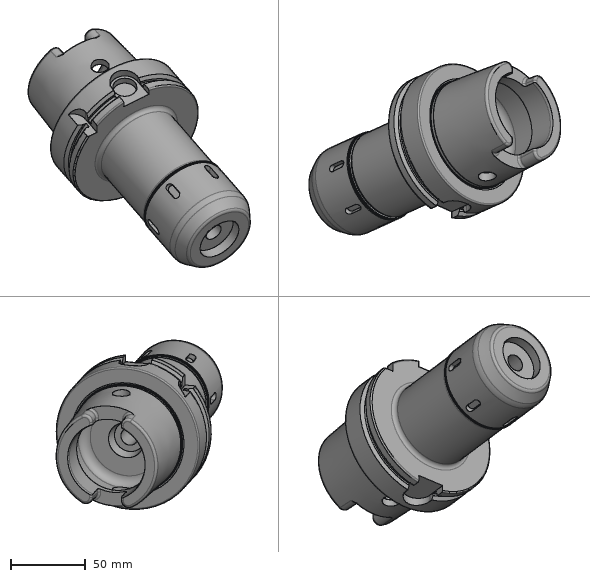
import cadquery as cq
import math


shank_length = 50.0
shank_front_x = -shank_length
taper_end_radius = 75.52 / 2
taper_end_x = -2.0
taper_ratio = 10.0
shank_front_radius = taper_end_radius - (taper_end_x - shank_front_x) / taper_ratio / 2
relief_radius = 75.0 / 2
relief_start_x = -1.5
shank_edge_fillet = 1.8

keyway_width = 20.0
keyway_depth_top = 10.0
keyway_depth_bottom = 15.0
keyway_flare = 5.0
keyway_floor_fillet = 1.65
selection_margin = 0.1

bore_mouth_radius = 54.0 / 2
bore_mouth_length = 1.9
bore_radius = 53.0 / 2
undercut_radius = 63.0 / 2
undercut_start_x = -30.5
undercut_slope = math.radians(60)
bore_floor_x = -3.5
bore_floor_fillet = 6.5
undercut_end_x = bore_floor_x - bore_floor_fillet
plug_radius = 35.0
side_hole_diameter = 12.0
side_hole_x = -15.0

socket_mouth_radius = 24.5 / 2
socket_radius = 21.0 / 2
socket_depth = 8.0
through_radius = 12.0 / 2

flange_radius = 50.0
flange_width = 29.0
flange_edge_fillet = 1.0
face_recess_radius = 39.3
face_recess_floor_radius = 38.2
face_recess_depth = 0.6
grip_center_x = 20.0
grip_floor_radius = 45.75
grip_floor_width = 3.4
grip_mouth_width = 6.5
grip_slope = math.radians(30)

slot_width = 20.0
slot_end_center_x = 15.0
slot_floor = 44.0
chip_hole_diameter = 16.0
chip_hole_depth = 5.0
notch_offset = 31.5
cutter_clearance = 1.0

neck_radius = 60.0 / 2
neck_root_fillet = 3.0
neck_end_x = 84.3
neck_end_fillet = 0.8
ring_seat_radius = 58.0 / 2
nose_radius = 48.0 / 2
nose_end_x = 123.0

ring_start_x = 85.0
ring_edge_chamfer = 0.5

nut_start_x = 86.5
nut_radius = 62.0 / 2
nut_end_x = 130.0
joint_chamfer = 0.5
nut_cone_start_x = 119.3
nut_cone_slope = math.radians(30)
nut_shoulder_fillet = 9.0
nut_end_fillet = 2.5
nut_opening_radius = 31.0 / 2

spanner_slot_count = 6
spanner_slot_width = 5.0
spanner_slot_start_x = 90.3
spanner_slot_length = 13.2
spanner_slot_floor_radius = 27.5

quarter_round_offset = 1 - math.sqrt(0.5)


def revolve_about_x(profile):
    """Turn a closed profile drawn in (x, radius) about the X axis."""
    return profile.close().revolve(360, (0, 0, 0), (1, 0, 0))


def edges_in(shape, low, high):
    """Select the edges whose centres lie inside a box."""
    return shape.edges(cq.selectors.BoxSelector(low, high))


def cut_keyway(shank, z_sign, depth):
    """Cut one drive keyway; its outer corners are flared and its floor corners rounded."""
    floor_x = shank_front_x + depth
    wall_y = keyway_width / 2
    margin = selection_margin
    keyway = (
        cq.Workplane("XY")
        .box(depth, keyway_width, flange_radius, centered=(False, True, False))
        .translate((shank_front_x, 0, min(0, z_sign) * flange_radius))
    )
    shank = shank.cut(keyway)
    outer_z_low, outer_z_high = sorted((z_sign * bore_radius, z_sign * taper_end_radius))
    for y in (-wall_y, wall_y):
        shank = edges_in(
            shank,
            (shank_front_x + margin, y - margin, outer_z_low),
            (floor_x - margin, y + margin, outer_z_high),
        ).fillet(keyway_flare)
    z_low, z_high = sorted((z_sign * nose_radius, z_sign * taper_end_radius))
    floor_lines = cq.selectors.BoxSelector(
        (floor_x - margin, -wall_y - margin, z_low),
        (floor_x + margin, wall_y + margin, z_high),
    ) & cq.selectors.TypeSelector("LINE")
    return shank.edges(floor_lines).fillet(keyway_floor_fillet)


def make_shank():
    """Tapered tube with a keyed, rounded front end."""
    shank = revolve_about_x(
        cq.Workplane("XY")
        .moveTo(shank_front_x, bore_radius)
        .lineTo(shank_front_x, shank_front_radius)
        .lineTo(taper_end_x, taper_end_radius)
        .lineTo(relief_start_x, relief_radius)
        .lineTo(face_recess_depth, relief_radius)
        .lineTo(face_recess_depth, bore_radius)
    )
    for z_sign, depth in ((1, keyway_depth_top), (-1, keyway_depth_bottom)):
        shank = cut_keyway(shank, z_sign, depth)
    outer_front_edges = [
        edge
        for edge in shank.faces("<X").edges("%CIRCLE").vals()
        if edge.radius() > bore_mouth_radius
    ]
    return shank.newObject(outer_front_edges).fillet(shank_edge_fillet)


def make_body():
    """Flange, neck and nose as one turned piece, with a plug that closes the shank bore."""
    grip_wall_dx = (grip_mouth_width - grip_floor_width) / 2
    grip_wall_radius = flange_radius - grip_wall_dx / math.tan(grip_slope)
    grip_floor_left = grip_center_x - grip_floor_width / 2
    grip_floor_right = grip_center_x + grip_floor_width / 2
    edge = flange_edge_fillet
    edge_offset = edge * quarter_round_offset
    root_offset = neck_root_fillet * quarter_round_offset
    end_offset = neck_end_fillet * quarter_round_offset
    return revolve_about_x(
        cq.Workplane("XY")
        .moveTo(undercut_end_x, 0)
        .lineTo(undercut_end_x, plug_radius)
        .lineTo(face_recess_depth, plug_radius)
        .lineTo(face_recess_depth, face_recess_floor_radius)
        .lineTo(0, face_recess_radius)
        .lineTo(0, flange_radius - edge)
        .threePointArc((edge_offset, flange_radius - edge_offset), (edge, flange_radius))
        .lineTo(grip_floor_left - grip_wall_dx, flange_radius)
        .lineTo(grip_floor_left, grip_wall_radius)
        .lineTo(grip_floor_left, grip_floor_radius)
        .lineTo(grip_floor_right, grip_floor_radius)
        .lineTo(grip_floor_right, grip_wall_radius)
        .lineTo(grip_floor_right + grip_wall_dx, flange_radius)
        .lineTo(flange_width - edge, flange_radius)
        .threePointArc(
            (flange_width - edge_offset, flange_radius - edge_offset),
            (flange_width, flange_radius - edge),
        )
        .lineTo(flange_width, neck_radius + neck_root_fillet)
        .threePointArc(
            (flange_width + root_offset, neck_radius + root_offset),
            (flange_width + neck_root_fillet, neck_radius),
        )
        .lineTo(neck_end_x - neck_end_fillet, neck_radius)
        .threePointArc(
            (neck_end_x - end_offset, neck_radius - end_offset),
            (neck_end_x, neck_radius - neck_end_fillet),
        )
        .lineTo(neck_end_x, ring_seat_radius)
        .lineTo(nut_start_x, ring_seat_radius)
        .lineTo(nut_start_x, nose_radius)
        .lineTo(nose_end_x, nose_radius)
        .lineTo(nose_end_x, 0)
    )


def make_bore():
    """Cavity of the shank bore, its undercut, rounded floor and stepped through hole."""
    undercut_rise = undercut_radius - bore_radius
    undercut_full_x = undercut_start_x + undercut_rise / math.tan(undercut_slope)
    floor_offset = bore_floor_fillet * quarter_round_offset
    return revolve_about_x(
        cq.Workplane("XY")
        .moveTo(shank_front_x, 0)
        .lineTo(shank_front_x, bore_mouth_radius)
        .lineTo(shank_front_x + bore_mouth_length, bore_radius)
        .lineTo(undercut_start_x, bore_radius)
        .lineTo(undercut_full_x, undercut_radius)
        .lineTo(undercut_end_x, undercut_radius)
        .threePointArc(
            (bore_floor_x - floor_offset, undercut_radius - floor_offset),
            (bore_floor_x, undercut_radius - bore_floor_fillet),
        )
        .lineTo(bore_floor_x, socket_mouth_radius)
        .lineTo(bore_floor_x + socket_depth, socket_radius)
        .lineTo(bore_floor_x + socket_depth, through_radius)
        .lineTo(nose_end_x, through_radius)
        .lineTo(nose_end_x, 0)
    )


def make_flange_slot(center_y, floor_z):
    """Round-ended slot cutter, open toward the neck, standing on its floor."""
    radius = slot_width / 2
    top_z = flange_radius + cutter_clearance
    length = flange_width - slot_end_center_x
    return (
        cq.Workplane("XY", origin=(slot_end_center_x, center_y, floor_z))
        .moveTo(0, radius)
        .threePointArc((-radius, 0), (0, -radius))
        .lineTo(length, -radius)
        .lineTo(length, radius)
        .close()
        .extrude(top_z - floor_z)
    )


def make_holder():
    """Shank, flange, neck and nose with all bores, slots and the notch."""
    holder = make_body().union(make_shank()).cut(make_bore())
    side_hole = (
        cq.Workplane("XY", origin=(side_hole_x, 0, -flange_radius))
        .circle(side_hole_diameter / 2)
        .extrude(2 * flange_radius)
    )
    chip_hole = (
        cq.Workplane("XY", origin=(slot_end_center_x, 0, slot_floor - chip_hole_depth))
        .circle(chip_hole_diameter / 2)
        .extrude(chip_hole_depth)
    )
    grip_slot = make_flange_slot(0, slot_floor)
    opposite_slot = grip_slot.mirror("XY")
    notch = make_flange_slot(-notch_offset - slot_width / 2, notch_offset)
    for cutter in (side_hole, grip_slot, chip_hole, opposite_slot, notch):
        holder = holder.cut(cutter)
    return holder


def make_ring():
    """Retaining ring on the seat between the neck and the nut."""
    return revolve_about_x(
        cq.Workplane("XY")
        .moveTo(ring_start_x, ring_seat_radius)
        .lineTo(ring_start_x, nut_radius - ring_edge_chamfer)
        .lineTo(ring_start_x + ring_edge_chamfer, nut_radius)
        .lineTo(nut_start_x - joint_chamfer, nut_radius)
        .lineTo(nut_start_x, nut_radius - joint_chamfer)
        .lineTo(nut_start_x, ring_seat_radius)
    )


def make_nut():
    """Clamping nut with a rounded conical front and spanner slots."""
    cone_length = nut_end_x - nut_cone_start_x
    cone_end_radius = nut_radius - cone_length * math.tan(nut_cone_slope)
    nut = revolve_about_x(
        cq.Workplane("XY")
        .moveTo(nut_start_x, nose_radius)
        .lineTo(nut_start_x, nut_radius - joint_chamfer)
        .lineTo(nut_start_x + joint_chamfer, nut_radius)
        .lineTo(nut_cone_start_x, nut_radius)
        .lineTo(nut_end_x, cone_end_radius)
        .lineTo(nut_end_x, nut_opening_radius)
        .lineTo(nose_end_x, nut_opening_radius)
        .lineTo(nose_end_x, nose_radius)
    )
    shoulder = edges_in(
        nut,
        (nut_cone_start_x - selection_margin, -nut_radius, -nut_radius),
        (nut_cone_start_x + selection_margin, nut_radius, nut_radius),
    )
    nut = shoulder.fillet(nut_shoulder_fillet)
    outermost = cq.selectors.RadiusNthSelector(-1)
    nut = nut.faces(">X").edges(outermost).fillet(nut_end_fillet)

    slot_mid_x = spanner_slot_start_x + spanner_slot_length / 2
    spanner_slot = (
        cq.Workplane("XZ", origin=(slot_mid_x, -spanner_slot_floor_radius, 0))
        .slot2D(spanner_slot_length, spanner_slot_width)
        .extrude(nut_radius - spanner_slot_floor_radius + cutter_clearance)
    )
    for i in range(spanner_slot_count):
        angle = i * 360 / spanner_slot_count
        nut = nut.cut(spanner_slot.rotate((0, 0, 0), (1, 0, 0), angle))
    return nut


holder = make_holder()
ring = make_ring()
nut = make_nut()

result = cq.Compound.makeCompound([holder.val(), ring.val(), nut.val()])